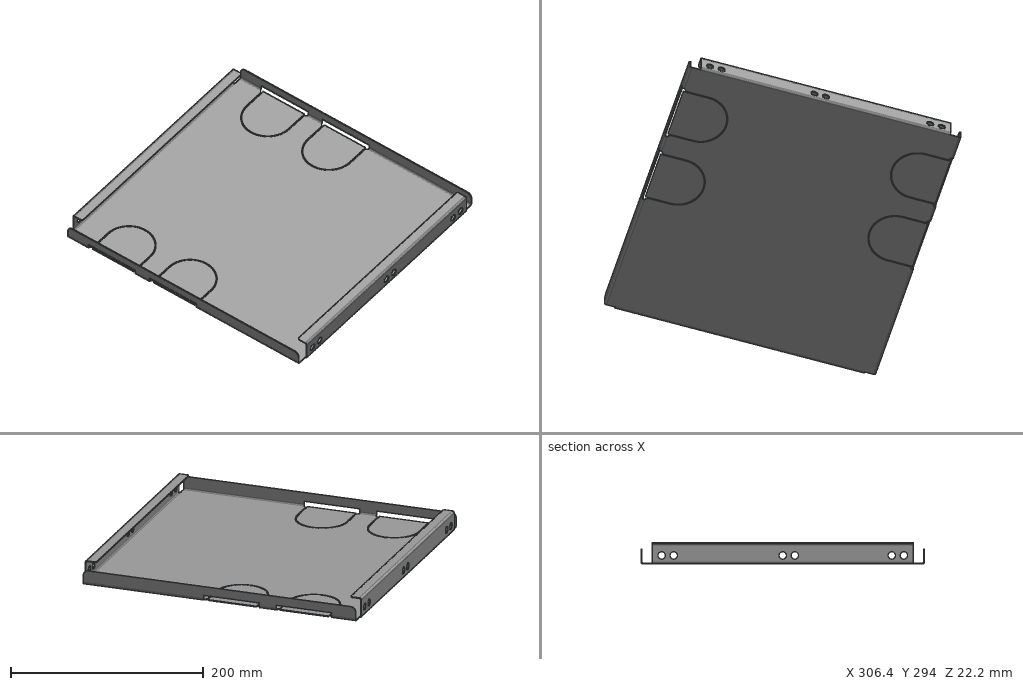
import cadquery as cq

thickness = 1.2
inner_bend = 1.0
outer_bend = inner_bend + thickness

width = 306.4
depth = 294.0
height = 22.2

channel_length = 270.5
lip_width = 12.2
lip_corner_radius = 2.5

flange_height = 15.5
flange_corner_radius = 5.5
base_width = width - 2 * outer_bend
bend_start = depth / 2 - outer_bend

hole_diameter = 7.5
hole_height = 9.0
hole_pitch = 12.5
end_hole_y = 125.5
hole_positions = [
    -end_hole_y,
    hole_pitch - end_hole_y,
    0,
    hole_pitch,
    end_hole_y - hole_pitch,
    end_hole_y,
]

tongue_centers = [-93.5, -13.5]
slit_width = 1.0
slit_outer_radius = 28.0
slit_inner_radius = slit_outer_radius - slit_width
slit_depth = 57.5
slit_arc_y = depth / 2 - slit_depth + slit_outer_radius
joint_width = 0.5

window_width = 61.5
window_top = 5.8
flare_size = window_width / 2 - slit_outer_radius


def rounded_section(plane, outline, length, outer_corners, inner_corners):
    """Extrude a bent-sheet section, centred on its length, and round its bends."""
    body = cq.Workplane(plane).polyline(outline).close().extrude(length / 2, both=True)
    for corners, radius in ((outer_corners, outer_bend), (inner_corners, inner_bend)):
        for u, v in corners:
            point = (u, 0, v) if plane == "XZ" else (0, u, v)
            body = body.edges(cq.selectors.NearestToPointSelector(point)).fillet(radius)
    return body


def side_channel():
    """Right-hand wall and lip bent up from the base, with mounting holes."""
    outside = width / 2
    inside = outside - thickness
    lip_edge = outside - lip_width
    lip_bottom = height - thickness
    outline = [
        (lip_edge, 0),
        (outside, 0),
        (outside, height),
        (lip_edge, height),
        (lip_edge, lip_bottom),
        (inside, lip_bottom),
        (inside, thickness),
        (lip_edge, thickness),
    ]
    channel = rounded_section(
        "XZ",
        outline,
        channel_length,
        outer_corners=[(outside, 0), (outside, height)],
        inner_corners=[(inside, thickness), (inside, lip_bottom)],
    )
    lip_corners = cq.selectors.BoxSelector(
        (lip_edge - thickness, -channel_length, lip_bottom),
        (lip_edge + thickness, channel_length, height),
    )
    channel = channel.edges("|Z").edges(lip_corners).fillet(lip_corner_radius)
    holes = (
        cq.Workplane("YZ", origin=(outside - outer_bend, 0, 0))
        .pushPoints([(y, hole_height) for y in hole_positions])
        .circle(hole_diameter / 2)
        .extrude(2 * outer_bend)
    )
    return channel.cut(holes)


def tray():
    """Base plate with the front and rear flanges bent up."""
    outside = depth / 2
    inside = outside - thickness
    outline = [
        (-outside, 0),
        (outside, 0),
        (outside, flange_height),
        (inside, flange_height),
        (inside, thickness),
        (-inside, thickness),
        (-inside, flange_height),
        (-outside, flange_height),
    ]
    body = rounded_section(
        "YZ",
        outline,
        base_width,
        outer_corners=[(-outside, 0), (outside, 0)],
        inner_corners=[(-inside, thickness), (inside, thickness)],
    )
    return body.edges("|Y and >Z").fillet(flange_corner_radius)


def tongue_plate(radius):
    """Plate with a half-round end, running from its arc to the rear bend."""
    return (
        cq.Workplane("XY")
        .moveTo(-radius, bend_start)
        .lineTo(-radius, slit_arc_y)
        .threePointArc((0, slit_arc_y - radius), (radius, slit_arc_y))
        .lineTo(radius, bend_start)
        .close()
        .extrude(thickness)
    )


def slit_flare(side):
    """Triangle that widens one leg of the slit to the window width."""
    return (
        cq.Workplane("XY")
        .moveTo(side * window_width / 2, bend_start)
        .lineTo(side * slit_inner_radius, bend_start)
        .lineTo(side * slit_inner_radius, bend_start - flare_size)
        .lineTo(side * slit_outer_radius, bend_start - flare_size)
        .close()
        .extrude(thickness)
    )


def knock_out_cut():
    """Material removed for one rear tongue: slit, flares and flange window."""
    joint = (
        cq.Workplane("XY", origin=(0, slit_arc_y - slit_outer_radius, 0))
        .rect(joint_width, 4 * slit_width)
        .extrude(thickness)
    )
    slit = tongue_plate(slit_outer_radius).cut(tongue_plate(slit_inner_radius)).cut(joint)
    window = (
        cq.Workplane("XY", origin=(0, depth / 2, 0))
        .rect(window_width, 2 * outer_bend)
        .extrude(window_top)
    )
    return slit.union(window).union(slit_flare(-1)).union(slit_flare(1))


right_channel = side_channel()
result = tray().union(right_channel).union(right_channel.mirror("YZ"))
for center in tongue_centers:
    rear_cut = knock_out_cut().translate((center, 0, 0))
    result = result.cut(rear_cut).cut(rear_cut.mirror("XZ"))